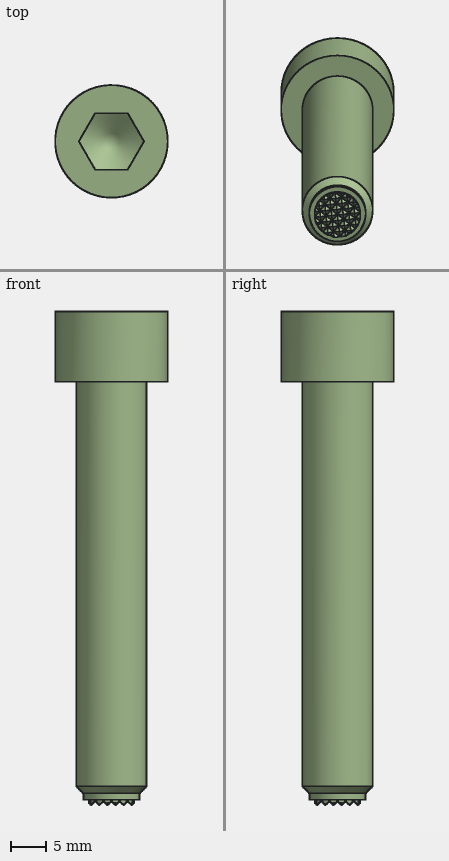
import cadquery as cq
import math

head_diameter = 16.0
head_height = 10.0
shank_diameter = 10.0
tip_diameter = 8.0
tip_length = 0.9
length_below_head = 60.0

socket_across_flats = 8.0
socket_depth = 5.0
drill_point_angle = 120.0

pad_diameter = 6.5
tooth_pitch = 1.15
teeth_across = 6
tooth_angle = 90.0
pad_shoulder = 0.2
pad_recess_depth = 2.0

chamfer = (shank_diameter - tip_diameter) / 2
socket_across_corners = socket_across_flats / math.cos(math.pi / 6)
drill_point_height = socket_across_corners / 2 / math.tan(math.radians(drill_point_angle / 2))
tooth_height = tooth_pitch / 2 / math.tan(math.radians(tooth_angle / 2))
serration_width = tooth_pitch * teeth_across

pad_end_z = -length_below_head
tooth_root_z = pad_end_z + tooth_height
tip_end_z = tooth_root_z + pad_shoulder
tip_start_z = tip_end_z + tip_length
chamfer_start_z = tip_start_z + chamfer
pad_top_z = tip_end_z + pad_recess_depth


def make_socket():
    """Hexagonal cavity whose floor is a cone reaching the hexagon corners."""
    socket_floor_z = head_height - socket_depth
    cone_tip_z = socket_floor_z - drill_point_height
    hexagon = (
        cq.Workplane("XY", origin=(0, 0, cone_tip_z))
        .polygon(6, socket_across_corners)
        .extrude(head_height - cone_tip_z)
    )
    drilled = (
        cq.Workplane("XZ")
        .moveTo(0, cone_tip_z)
        .lineTo(socket_across_corners / 2, socket_floor_z)
        .lineTo(socket_across_corners / 2, head_height)
        .lineTo(0, head_height)
        .close()
        .revolve(360, (0, 0, 0), (0, 1, 0))
    )
    return hexagon.intersect(drilled)


def make_screw():
    """Socket head screw with a chamfered, reduced tip and a recess for the pad."""
    blank = (
        cq.Workplane("XZ")
        .moveTo(0, head_height)
        .lineTo(head_diameter / 2, head_height)
        .lineTo(head_diameter / 2, 0)
        .lineTo(shank_diameter / 2, 0)
        .lineTo(shank_diameter / 2, chamfer_start_z)
        .lineTo(tip_diameter / 2, tip_start_z)
        .lineTo(tip_diameter / 2, tip_end_z)
        .lineTo(0, tip_end_z)
        .close()
        .revolve(360, (0, 0, 0), (0, 1, 0))
    )
    recess = (
        cq.Workplane("XY", origin=(0, 0, tip_end_z))
        .circle(pad_diameter / 2)
        .extrude(pad_recess_depth)
    )
    return blank.cut(make_socket()).cut(recess)


def make_serration(plane):
    """Row of parallel ridges under a solid block, extruded both ways from the plane."""
    half_width = serration_width / 2
    profile = cq.Workplane(plane).moveTo(-half_width, pad_top_z).lineTo(-half_width, tooth_root_z)
    for index in range(teeth_across):
        ridge_start = -half_width + index * tooth_pitch
        profile = profile.lineTo(ridge_start + tooth_pitch / 2, pad_end_z)
        profile = profile.lineTo(ridge_start + tooth_pitch, tooth_root_z)
    return profile.lineTo(half_width, pad_top_z).close().extrude(half_width, both=True)


def make_pad():
    """Round pad whose lower face is crossed by V grooves along X and along Y."""
    disc = (
        cq.Workplane("XY", origin=(0, 0, pad_end_z))
        .circle(pad_diameter / 2)
        .extrude(pad_top_z - pad_end_z)
    )
    return disc.intersect(make_serration("XZ")).intersect(make_serration("YZ"))


screw = make_screw()
pad = make_pad()

result = cq.Compound.makeCompound([screw.val(), pad.val()])